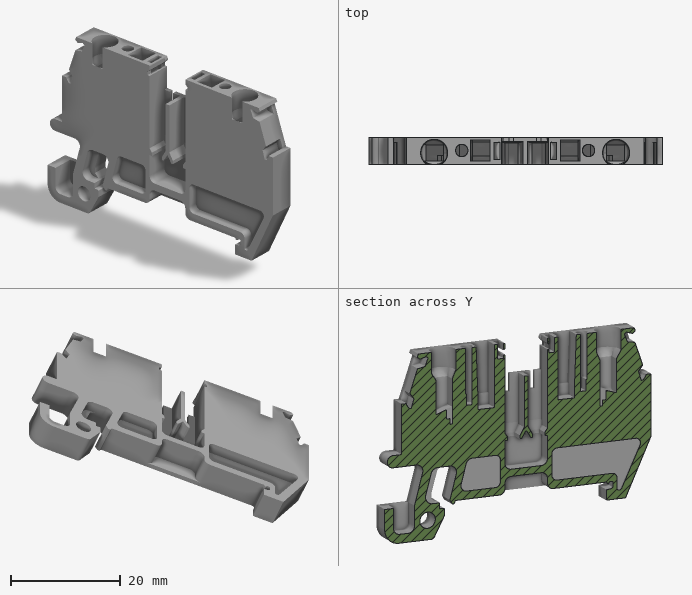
import cadquery as cq
import math

LENGTH = 53.5
THICKNESS = 5.0
HEIGHT = 35.4
MIRROR_X = 28.45
CORE_DEPTH = 4.15
NOTCH_DEPTH = 4.0
POCKET_DEPTH = 1.9
LEAN = 0.27
OVERCUT = 0.55

RAIL_Z = 6.8
POCKET_TOP = 14.4
POCKET_BOTTOM = 8.4
PLATE_TOP = 28.8
SHOULDER_Z = 26.3

RECESS_HALF = 4.2
RECESS_FLOOR = 11.5
ARCH_TOP = 10.05
RECESS_ROUND = 1.2


def mirror_x(x):
    return 2 * MIRROR_X - x


def mirrored(points):
    """Mirror outline points to the other block, keeping any corner radius."""
    return [(mirror_x(p[0]),) + tuple(p[1:]) for p in reversed(points)]


def both(solid):
    """The solid together with its copy on the other block."""
    twin = solid.mirror("YZ", (MIRROR_X, 0, 0))
    return solid.union(twin)


def outline(points):
    """Closed XZ outline; a third value on a point rounds that corner."""
    corners = []
    for i, (x, z, *radius) in enumerate(points):
        if not radius:
            corners.append([(x, z)])
            continue
        to_prev = (points[i - 1][0] - x, points[i - 1][1] - z)
        following = points[(i + 1) % len(points)]
        to_next = (following[0] - x, following[1] - z)
        u = [c / math.hypot(*to_prev) for c in to_prev]
        v = [c / math.hypot(*to_next) for c in to_next]
        half = math.acos(u[0] * v[0] + u[1] * v[1]) / 2
        tangent = radius[0] / math.tan(half)
        bisector = math.hypot(u[0] + v[0], u[1] + v[1])
        reach = (radius[0] / math.sin(half) - radius[0]) / bisector
        corners.append([
            (x + tangent * u[0], z + tangent * u[1]),
            (x + reach * (u[0] + v[0]), z + reach * (u[1] + v[1])),
            (x + tangent * v[0], z + tangent * v[1]),
        ])
    wire = cq.Workplane("XZ").moveTo(*corners[0][-1])
    for corner in corners[1:] + corners[:1]:
        wire = wire.lineTo(*corner[0])
        if len(corner) == 3:
            wire = wire.threePointArc(corner[1], corner[2])
    return wire.close()


def slab(points, y_from, y_to):
    """Outline extruded from one Y to another."""
    return outline(points).extrude(-(y_to - y_from)).translate((0, y_from, 0))


def front_cut(points, depth):
    """Cutter entering from the front face."""
    return slab(points, -OVERCUT, depth)


def box(x, y, z):
    """Box from its (low, high) pair on each axis."""
    size = [high - low for low, high in (x, y, z)]
    return cq.Workplane("XY").box(*size, centered=False).translate((x[0], y[0], z[0]))


def cylinder_down(x, y, radius, bottom):
    return (
        cq.Workplane("XY", origin=(x, y, bottom))
        .circle(radius)
        .extrude(HEIGHT + OVERCUT - bottom)
    )


SHOULDER_X = mirror_x(LENGTH)
SLOPE_BOTTOM = (4.45, SHOULDER_Z)
SLOPE_TOP = (7.15, 34.3)
FACE_X = MIRROR_X - RECESS_HALF
LEG_X = 6.0
SLOT_TOP = 13.45
SLOT_LEFT_TOP = 9.7
SLOT_RIGHT_TOP = 14.8
SLOT_WEB = 1.3


def lean_x(x_top, z_top, z):
    """X at height z on a leaning wall that passes through (x_top, z_top)."""
    return x_top - LEAN * (z_top - z)


def block_top():
    """Outer slope, top and inner edge of the left block, left to right."""
    return [
        (SHOULDER_X, SHOULDER_Z),
        SLOPE_BOTTOM,
        SLOPE_TOP,
        (6.55, 34.8),
        (6.8, HEIGHT),
        (24.2, HEIGHT),
        (24.4, 34.95),
        (24.4, 34.6),
        (23.7, 33.9),
        (23.7, 33.3),
        (FACE_X, 33.3),
        (FACE_X, PLATE_TOP),
    ]


def body():
    web_left_top = SLOT_LEFT_TOP + SLOT_WEB
    left_side = [
        (LEG_X, RAIL_Z),
        (LEG_X + LEAN * (POCKET_TOP - RAIL_Z), POCKET_TOP, 1.25),
        (SHOULDER_X, POCKET_TOP),
    ]
    right_foot = [
        (LENGTH, POCKET_TOP),
        (48.4, 3.35),
        (44.5, 3.35),
        (44.5, 5.4),
        (45.4, 5.5),
        (45.8, 5.7),
        (45.8, RAIL_Z),
        (45.2, RAIL_Z),
        (45.0, 6.4),
        (44.7, 6.4),
        (44.55, RAIL_Z),
    ]
    slot_and_left_foot = [
        (14.3, RAIL_Z),
        (14.0, 6.2),
        (13.6, 6.2),
        (lean_x(SLOT_RIGHT_TOP, SLOT_TOP, 7.05), 7.05),
        (SLOT_RIGHT_TOP, SLOT_TOP, 1.3),
        (web_left_top, SLOT_TOP, 1.2),
        (9.65, 8.65, 1.6),
        (9.65, 7.6),
        (10.5, RAIL_Z),
        (11.15, RAIL_Z),
        (11.15, 5.65),
        (12.1, 5.65, 0.2),
        (12.1, 4.2),
        (9.85, 0, 0.8),
        (0, 0, 2.95),
        (0, RAIL_Z),
    ]
    top = block_top() + mirrored(block_top())
    return slab(left_side + top + right_foot + slot_and_left_foot, 0, THICKNESS)


def finger_ledge():
    """Round-nosed ledge that sticks out of the left block."""
    height = 2.4
    radius = height / 2
    centre_x = 0.55 + radius
    centre_z = POCKET_TOP + radius
    nose = (
        cq.Workplane("XZ", origin=(centre_x, 0, centre_z))
        .circle(radius)
        .extrude(-THICKNESS)
    )
    arm = box((centre_x, SLOPE_BOTTOM[0]), (0, THICKNESS), (POCKET_TOP, POCKET_TOP + height))
    return nose.union(arm)


POCKET_EDGE_X = 23.25


def left_pocket():
    x_top = 16.7
    return front_cut([
        (x_top, POCKET_TOP, 1.05),
        (POCKET_EDGE_X, POCKET_TOP, 1.0),
        (POCKET_EDGE_X, POCKET_BOTTOM, 1.0),
        (lean_x(x_top, POCKET_TOP, POCKET_BOTTOM), POCKET_BOTTOM, 1.05),
    ], POCKET_DEPTH)


def right_pocket():
    return front_cut([
        (mirror_x(POCKET_EDGE_X), POCKET_TOP, 1.0),
        (51.9, POCKET_TOP, 0.9),
        (47.45, 5.1, 0.45),
        (46.75, 5.1, 0.25),
        (46.75, POCKET_BOTTOM, 1.05),
        (mirror_x(POCKET_EDGE_X), POCKET_BOTTOM, 1.0),
    ], POCKET_DEPTH)


def slot_pocket():
    """Widens the leaning slot at the front, leaving a ledge at the back."""
    return front_cut([
        (SLOT_LEFT_TOP, SLOT_TOP, 1.35),
        (13.4, SLOT_TOP),
        (11.1, RAIL_Z),
        (lean_x(SLOT_LEFT_TOP, SLOT_TOP, RAIL_Z), RAIL_Z, 1.35),
    ], POCKET_DEPTH)


def foot_pocket():
    return front_cut([
        (1.85, RAIL_Z + OVERCUT),
        (1.85, 1.75, 1.2),
        (LEG_X, 1.75, 1.2),
        (LEG_X, RAIL_Z),
        (LEG_X, RAIL_Z + OVERCUT),
    ], CORE_DEPTH)


def foot_hole():
    return cq.Workplane("XZ", origin=(8.65, 0, 3.75)).circle(1.5).extrude(-THICKNESS)


def arch():
    """Recess under the bridge, flaring out with round edges at the rail."""
    right = MIRROR_X + RECESS_HALF
    flare = 1.2
    wide = flare + OVERCUT
    below = RAIL_Z - OVERCUT
    return front_cut([
        (FACE_X - wide, below),
        (FACE_X - wide, RAIL_Z),
        (FACE_X, RAIL_Z, flare),
        (FACE_X, ARCH_TOP, RECESS_ROUND),
        (right, ARCH_TOP, RECESS_ROUND),
        (right, RAIL_Z, flare),
        (right + wide, RAIL_Z),
        (right + wide, below),
    ], CORE_DEPTH)


LIP_TOP = 17.65
LIP_BOTTOM = 16.95
NOSE = 0.55
DIVIDER_HALF = 0.45
ARM_OUTER = 1.3
ARM_INNER = 0.9


def centre_recess():
    """Tall recess between the blocks, narrowed by a nose on each side."""
    top = HEIGHT + OVERCUT
    left = [
        (FACE_X, RECESS_FLOOR, RECESS_ROUND),
        (FACE_X, LIP_BOTTOM),
        (FACE_X + NOSE, LIP_BOTTOM),
        (FACE_X + NOSE, LIP_TOP),
        (FACE_X, 18.4),
        (FACE_X, top),
    ]
    return front_cut(left + mirrored(left), CORE_DEPTH)


def divider():
    """Upright wall in the recess, forked at its lower end."""
    left = [
        (MIRROR_X - ARM_INNER, LIP_BOTTOM),
        (MIRROR_X - ARM_OUTER, LIP_BOTTOM),
        (MIRROR_X - ARM_OUTER, LIP_TOP),
        (MIRROR_X - DIVIDER_HALF, 19.1),
        (MIRROR_X - DIVIDER_HALF, PLATE_TOP),
    ]
    return slab(left + mirrored(left) + [(MIRROR_X, 18.4)], 0, CORE_DEPTH)


def contact_ramp():
    """Ramped lip on the plate that ends each contact seat."""
    lip = 0.2
    ramp_top = 19.5
    profile = [
        (CORE_DEPTH, LIP_BOTTOM),
        (CORE_DEPTH - lip, LIP_BOTTOM),
        (CORE_DEPTH - lip, LIP_TOP),
        (CORE_DEPTH, ramp_top),
    ]
    width = RECESS_HALF - DIVIDER_HALF
    ramp = cq.Workplane("YZ", origin=(FACE_X, 0, 0)).polyline(profile).close().extrude(width)
    under_arm = slab([
        (MIRROR_X, LIP_BOTTOM - OVERCUT),
        (MIRROR_X - ARM_OUTER, LIP_BOTTOM - OVERCUT),
        (MIRROR_X - ARM_OUTER, LIP_TOP),
        (MIRROR_X, 19.8),
    ], 0, CORE_DEPTH)
    return ramp.cut(under_arm)


def plate_slot():
    """Narrow slot cut down through the top edge of the plate."""
    middle = MIRROR_X - 2.5
    half = 0.4
    bottom = 25.35
    height_range = (bottom, PLATE_TOP + OVERCUT)
    return box((middle - half, middle + half), (0, THICKNESS + OVERCUT), height_range)


def edge_notches():
    """Latching notches along the outer slope, open to the front."""
    upper = [
        (5.9, 34.6),
        SLOPE_TOP,
        (8.35, 34.65),
        (8.7, 34.4),
        (8.15, 32.9),
        (6.7, 32.65),
        (5.9, 32.65),
    ]
    lower = [
        (4.45, 28.1),
        (5.1, 28.1),
        (5.9, 27.0),
        (5.35, 25.3),
        (5.0, 25.35),
        (4.55, 25.95),
        SLOPE_BOTTOM,
    ]
    return front_cut(upper, NOTCH_DEPTH).union(front_cut(lower, NOTCH_DEPTH))


def wire_entry():
    """Round bore open at the front, a funnel, and a slanted square socket."""
    x = 11.9
    y = 2.15
    radius = 2.45
    window_bottom = 31.0
    funnel_top = 31.5
    funnel_bottom = 29.9
    socket_x = (10.4, 13.6)
    socket_y = (0.65, 3.6)
    pit_x = (12.5, 13.2)
    pit_y = (socket_y[0], 1.65)
    bore = cylinder_down(x, y, radius, funnel_top)
    front_space = box((x - radius, x + radius), (y - radius, socket_y[0]), (0, HEIGHT + OVERCUT))
    window = cylinder_down(x, y, radius, window_bottom).intersect(front_space)
    funnel = (
        cq.Workplane("XY", origin=(x, y, funnel_top))
        .circle(radius)
        .workplane(offset=funnel_bottom - funnel_top)
        .center(sum(socket_x) / 2 - x, sum(socket_y) / 2 - y)
        .rect(socket_x[1] - socket_x[0], socket_y[1] - socket_y[0])
        .loft()
    )
    socket = slab([
        (socket_x[0], funnel_bottom),
        (socket_x[0], 23.55),
        (socket_x[1], 24.6),
        (socket_x[1], funnel_bottom),
    ], *socket_y)
    shallow_pit = box((pit_x[0], socket_x[1]), pit_y, (22.45, funnel_bottom))
    deep_pit = box((pit_x[1], socket_x[1]), pit_y, (21.4, funnel_bottom))
    cutter = bore
    for space in (window, funnel, socket, shallow_pit, deep_pit):
        cutter = cutter.union(space)
    return cutter


def test_hole():
    """Round probe hole whose floor steps up on the outer side."""
    x = 16.9
    radius = 1.1
    step_edge = 16.55
    step_top = 26.75
    hole = cylinder_down(x, 2.55, radius, 24.6)
    step = box((x - radius, step_edge), (0, THICKNESS), (0, step_top))
    return hole.cut(step)


def release_opening():
    """Square opening over a narrower well, with a sloping outer wall."""
    outer_x = 18.45
    well_x = 18.85
    inner_x = 22.05
    ledge = 25.7
    opening = slab([
        (outer_x, HEIGHT + OVERCUT),
        (outer_x, HEIGHT),
        (well_x, ledge),
        (inner_x, ledge),
        (inner_x, HEIGHT + OVERCUT),
    ], 0.65, 4.5)
    well = box((well_x, inner_x), (1.6, 4.1), (23.55, HEIGHT))
    return opening.union(well)


def marker_slot():
    """Narrow slot next to the inner edge, breaking into the edge groove."""
    return box((22.8, 23.85), (0.95, 4.05), (32.65, HEIGHT + OVERCUT))


result = body().union(finger_ledge())
for cutter in (left_pocket, right_pocket, slot_pocket, foot_pocket, foot_hole, arch, centre_recess):
    result = result.cut(cutter())
result = result.union(divider()).union(both(contact_ramp()))
for cutter in (plate_slot, edge_notches, wire_entry, test_hole, release_opening, marker_slot):
    result = result.cut(both(cutter()))